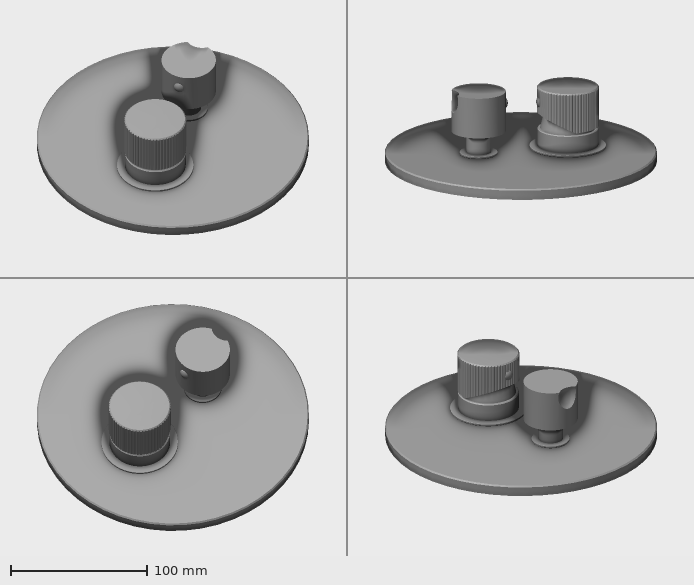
import cadquery as cq
import math

PLATE_RADIUS = 100.0
PLATE_THICKNESS = 8.0
PLATE_CHAMFER = 1.0

RING_HEIGHT = 1.8
RING_TOP_CHAMFER = 0.2
RING_BOTTOM_CHAMFER = 0.5
RING_TOP = PLATE_THICKNESS + RING_HEIGHT

DIVERTER_Y = 32.2
DIVERTER_RING_RADIUS = 14.0
STEM_RADIUS = 9.2
DIVERTER_RADIUS = 20.0
DIVERTER_BOTTOM = 25.8
DIVERTER_TOP = 56.2

SCOOP_RADIUS = 12.8
SCOOP_OFFSET = 27.5
SCOOP_Z = 51.8

THERMOSTAT_Y = -35.8
THERMOSTAT_RING_RADIUS = 28.2
BASE_RADIUS = 22.5
BASE_TOP = 23.0
BASE_CHAMFER = 0.5
NECK_RADIUS = 20.5
NECK_TOP = 34.0
NECK_TAPER = 12.4
FLUTED_RADIUS = 22.8
FLUTED_BOTTOM = 24.8
FLUTED_SHOULDER = 55.0
FLUTED_CHAMFER = 1.0
CROWN_RISE = 0.8
FLUTE_COUNT = 60
FLUTE_DEPTH = 0.5
FLUTE_WIDTH_RATIO = 0.5
UNDERCUT_RIM_Z = 35.5

BUTTON_RADIUS = 3.8
BUTTON_DOME = 1.5
DIVERTER_BUTTON_Z = 45.8
DIVERTER_BUTTON_REACH = 22.0
THERMOSTAT_BUTTON_Z = 44.2
THERMOSTAT_BUTTON_REACH = 24.0


def cylinder(radius, bottom, top):
    """Upright cylinder on the Z axis."""
    return cq.Workplane("XY").workplane(offset=bottom).circle(radius).extrude(top - bottom)


def make_plate():
    return cylinder(PLATE_RADIUS, 0, PLATE_THICKNESS).faces(">Z").edges().chamfer(PLATE_CHAMFER)


def make_ring(radius):
    ring = cylinder(radius, PLATE_THICKNESS, RING_TOP)
    ring = ring.faces("<Z").edges().chamfer(RING_BOTTOM_CHAMFER)
    return ring.faces(">Z").edges().chamfer(RING_TOP_CHAMFER)


def make_button(reach, height):
    """Button along +Y, solid back to the knob axis, with a domed tip at y = reach."""
    rim = reach - BUTTON_DOME
    dome_radius = (BUTTON_RADIUS**2 + BUTTON_DOME**2) / (2 * BUTTON_DOME)
    half_angle = math.asin(BUTTON_RADIUS / dome_radius) / 2
    dome_centre = reach - dome_radius
    arc_middle = (
        dome_radius * math.sin(half_angle),
        dome_centre + dome_radius * math.cos(half_angle),
    )
    button = (
        cq.Workplane("XY")
        .lineTo(BUTTON_RADIUS, 0)
        .lineTo(BUTTON_RADIUS, rim)
        .threePointArc(arc_middle, (0, reach))
        .close()
        .revolve(360, (0, 0), (0, 1))
    )
    return button.translate((0, 0, height))


def make_diverter():
    stem = cylinder(STEM_RADIUS, PLATE_THICKNESS, DIVERTER_BOTTOM)
    knob = cylinder(DIVERTER_RADIUS, DIVERTER_BOTTOM, DIVERTER_TOP)
    scoop = cq.Workplane("XY").sphere(SCOOP_RADIUS).translate((0, SCOOP_OFFSET, SCOOP_Z))
    button = make_button(DIVERTER_BUTTON_REACH, DIVERTER_BUTTON_Z)
    button = button.rotate((0, 0, 0), (0, 0, 1), 180)
    diverter = make_ring(DIVERTER_RING_RADIUS).union(stem).union(knob.cut(scoop)).union(button)
    return diverter.translate((0, DIVERTER_Y, 0))


def polar(radius, angle):
    return (radius * math.cos(angle), radius * math.sin(angle))


def make_fluted_blank():
    """Prism with evenly spaced V grooves around its wall."""
    pitch = 2 * math.pi / FLUTE_COUNT
    half_groove = pitch * FLUTE_WIDTH_RATIO / 2
    outline = []
    for index in range(FLUTE_COUNT):
        angle = index * pitch
        outline.append(polar(FLUTED_RADIUS, angle - half_groove))
        outline.append(polar(FLUTED_RADIUS - FLUTE_DEPTH, angle))
        outline.append(polar(FLUTED_RADIUS, angle + half_groove))
    height = FLUTED_SHOULDER + CROWN_RISE - FLUTED_BOTTOM
    return cq.Workplane("XY").workplane(offset=FLUTED_BOTTOM).polyline(outline).close().extrude(height)


def make_knob_envelope():
    """Turned shape of the fluted knob: chamfered shoulder below a shallow crown."""
    crown_edge = FLUTED_RADIUS - FLUTED_CHAMFER
    crown_radius = (crown_edge**2 + CROWN_RISE**2) / (2 * CROWN_RISE)
    middle = crown_edge / 2
    middle_drop = crown_radius - math.sqrt(crown_radius**2 - middle**2)
    crown_top = FLUTED_SHOULDER + CROWN_RISE
    return (
        cq.Workplane("XZ")
        .moveTo(0, FLUTED_BOTTOM)
        .lineTo(FLUTED_RADIUS, FLUTED_BOTTOM)
        .lineTo(FLUTED_RADIUS, FLUTED_SHOULDER - FLUTED_CHAMFER)
        .lineTo(crown_edge, FLUTED_SHOULDER)
        .threePointArc((middle, crown_top - middle_drop), (0, crown_top))
        .close()
        .revolve(360, (0, 0), (0, 1))
    )


def make_undercut():
    """Wedge below the sloping underside of the knob's +Y half."""
    return (
        cq.Workplane("YZ")
        .moveTo(0, FLUTED_BOTTOM)
        .lineTo(FLUTED_RADIUS, FLUTED_BOTTOM)
        .lineTo(FLUTED_RADIUS, UNDERCUT_RIM_Z)
        .close()
        .extrude(FLUTED_RADIUS, both=True)
    )


def make_thermostat():
    base = cylinder(BASE_RADIUS, PLATE_THICKNESS, BASE_TOP).faces(">Z").edges().chamfer(BASE_CHAMFER)
    neck = (
        cq.Workplane("XY")
        .workplane(offset=BASE_TOP)
        .circle(NECK_RADIUS)
        .extrude(NECK_TOP - BASE_TOP, taper=NECK_TAPER)
    )
    knob = make_fluted_blank().intersect(make_knob_envelope()).cut(make_undercut())
    button = make_button(THERMOSTAT_BUTTON_REACH, THERMOSTAT_BUTTON_Z)
    thermostat = make_ring(THERMOSTAT_RING_RADIUS).union(base).union(neck).union(knob).union(button)
    return thermostat.translate((0, THERMOSTAT_Y, 0))


result = make_plate().union(make_diverter()).union(make_thermostat())